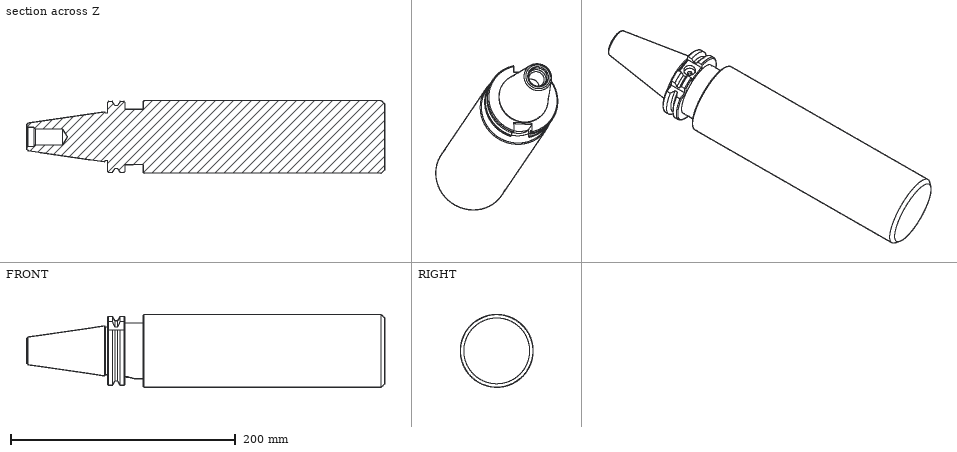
import cadquery as cq
import math


TOTAL_LENGTH = 318.5
TAPER_LENGTH = 68.5
TAPER_LAND = 0.5
FLANGE_GAP = 3.2
FLANGE_LENGTH = 16.0
NECK_LENGTH = 16.0
FLANGE_FRONT = TAPER_LENGTH + FLANGE_GAP
FLANGE_BACK = FLANGE_FRONT + FLANGE_LENGTH
BODY_START = FLANGE_BACK + NECK_LENGTH

TAPER_RATIO = 7 / 24
TAPER_LARGE_RADIUS = 44.5 / 2
TAPER_SMALL_RADIUS = TAPER_LARGE_RADIUS - TAPER_LENGTH * TAPER_RATIO / 2
COLLAR_RADIUS = 42.7 / 2
FLANGE_RADIUS = 63.7 / 2
NECK_RADIUS = 49.7 / 2
BODY_RADIUS = 65.0 / 2

TIP_CHAMFER = 1.3
FLANGE_CHAMFER = 1.0
BODY_FRONT_CHAMFER = 1.0
BODY_END_CHAMFER = 3.2

GROOVE_CENTER = TAPER_LENGTH + 11.0
GROOVE_FLOOR_RADIUS = 56.5 / 2
GROOVE_FLOOR_WIDTH = 2.5
GROOVE_INCLUDED_ANGLE = 60.0

SLOT_WIDTH = 16.5
TOP_SLOT_FLOOR = 25.0
BOTTOM_SLOT_FLOOR = 23.0

NOTCH_OFFSET = 18.5

POCKET_DIAMETER = 10.2
POCKET_DEPTH = 4.8
POCKET_PILOT_DIAMETER = 3.8
POCKET_PILOT_DEPTH = 3.2

BORE_MOUTH_DIAMETER = 17.0
BORE_MOUTH_DEPTH = 6.5
BORE_MOUTH_CHAMFER = 1.0
BORE_DIAMETER = 14.0
BORE_DEPTH = 31.8
DRILL_POINT_ANGLE = 118.0


def revolve_profile(points):
    """Solid of revolution about the X axis from (x, radius) points."""
    return cq.Workplane("XY").polyline(points).close().revolve(360, (0, 0, 0), (1, 0, 0))


def make_blank():
    land_end = TAPER_LENGTH + TAPER_LAND
    tip_edge_radius = TAPER_SMALL_RADIUS + TIP_CHAMFER * TAPER_RATIO / 2
    return revolve_profile([
        (0, 0),
        (0, TAPER_SMALL_RADIUS - TIP_CHAMFER),
        (TIP_CHAMFER, tip_edge_radius),
        (TAPER_LENGTH, TAPER_LARGE_RADIUS),
        (land_end, TAPER_LARGE_RADIUS),
        (land_end + TAPER_LARGE_RADIUS - COLLAR_RADIUS, COLLAR_RADIUS),
        (FLANGE_FRONT, COLLAR_RADIUS),
        (FLANGE_FRONT, FLANGE_RADIUS - FLANGE_CHAMFER),
        (FLANGE_FRONT + FLANGE_CHAMFER, FLANGE_RADIUS),
        (FLANGE_BACK - FLANGE_CHAMFER, FLANGE_RADIUS),
        (FLANGE_BACK, FLANGE_RADIUS - FLANGE_CHAMFER),
        (FLANGE_BACK, NECK_RADIUS),
        (BODY_START, NECK_RADIUS),
        (BODY_START, BODY_RADIUS - BODY_FRONT_CHAMFER),
        (BODY_START + BODY_FRONT_CHAMFER, BODY_RADIUS),
        (TOTAL_LENGTH - BODY_END_CHAMFER, BODY_RADIUS),
        (TOTAL_LENGTH, BODY_RADIUS - BODY_END_CHAMFER),
        (TOTAL_LENGTH, 0),
    ])


def make_groove():
    flank_angle = math.radians(GROOVE_INCLUDED_ANGLE / 2)
    flank_run = (FLANGE_RADIUS - GROOVE_FLOOR_RADIUS) * math.tan(flank_angle)
    half_floor = GROOVE_FLOOR_WIDTH / 2
    half_mouth = half_floor + flank_run
    return revolve_profile([
        (GROOVE_CENTER - half_floor, GROOVE_FLOOR_RADIUS),
        (GROOVE_CENTER + half_floor, GROOVE_FLOOR_RADIUS),
        (GROOVE_CENTER + half_mouth, FLANGE_RADIUS),
        (GROOVE_CENTER - half_mouth, FLANGE_RADIUS),
    ])


def make_slot(floor, side):
    """Drive slot cutter; side is 1 for the top and -1 for the bottom of the flange.

    The slot is open at the flange front and ends round behind the flange. The
    front end of its floor is chamfered, and so is the back end as far as the neck.
    """
    depth = FLANGE_RADIUS - floor
    chamfered_floor = floor - FLANGE_CHAMFER
    back_floor = min(floor, NECK_RADIUS)
    outline = [
        (FLANGE_FRONT, FLANGE_RADIUS),
        (FLANGE_FRONT, chamfered_floor),
        (FLANGE_FRONT + FLANGE_CHAMFER, floor),
        (FLANGE_BACK - FLANGE_CHAMFER, floor),
        (FLANGE_BACK, back_floor),
        (FLANGE_BACK, FLANGE_RADIUS),
    ]
    outline = [(x, side * z) for x, z in outline]
    straight = cq.Workplane("XZ").polyline(outline).close().extrude(SLOT_WIDTH / 2, both=True)
    floor_plane = cq.Workplane("XY").workplane(offset=side * floor)
    run_out = floor_plane.center(FLANGE_BACK, 0).circle(SLOT_WIDTH / 2).extrude(side * depth)
    return straight.union(run_out)


def make_notch():
    """Corner notch cutter, flared at both flange faces to chamfer the notch edges."""
    size = 2 * (FLANGE_RADIUS - NOTCH_OFFSET)
    center = NOTCH_OFFSET + size / 2

    def square_at(x, width):
        return cq.Workplane("YZ", origin=(x, -center, center)).rect(width, width)

    notch = square_at(FLANGE_FRONT, size).extrude(FLANGE_LENGTH)
    flared_size = size + 2 * FLANGE_CHAMFER
    for face, inward in ((FLANGE_FRONT, 1), (FLANGE_BACK, -1)):
        flare = square_at(face, flared_size).workplane(offset=inward * FLANGE_CHAMFER).rect(size, size).loft()
        notch = notch.union(flare)
    return notch


def make_pocket():
    floor = cq.Workplane("XY").workplane(offset=TOP_SLOT_FLOOR).center(GROOVE_CENTER, 0)
    pocket = floor.circle(POCKET_DIAMETER / 2).extrude(-POCKET_DEPTH)
    pilot = floor.circle(POCKET_PILOT_DIAMETER / 2).extrude(-POCKET_DEPTH - POCKET_PILOT_DEPTH)
    return pocket.union(pilot)


def make_bore():
    mouth_radius = BORE_MOUTH_DIAMETER / 2
    bore_radius = BORE_DIAMETER / 2
    point_length = bore_radius / math.tan(math.radians(DRILL_POINT_ANGLE / 2))
    return revolve_profile([
        (0, 0),
        (0, mouth_radius + BORE_MOUTH_CHAMFER),
        (BORE_MOUTH_CHAMFER, mouth_radius),
        (BORE_MOUTH_DEPTH, mouth_radius),
        (BORE_MOUTH_DEPTH + mouth_radius - bore_radius, bore_radius),
        (BORE_DEPTH, bore_radius),
        (BORE_DEPTH + point_length, 0),
    ])


result = (
    make_blank()
    .cut(make_groove())
    .cut(make_slot(TOP_SLOT_FLOOR, 1))
    .cut(make_slot(BOTTOM_SLOT_FLOOR, -1))
    .cut(make_notch())
    .cut(make_pocket())
    .cut(make_bore())
)